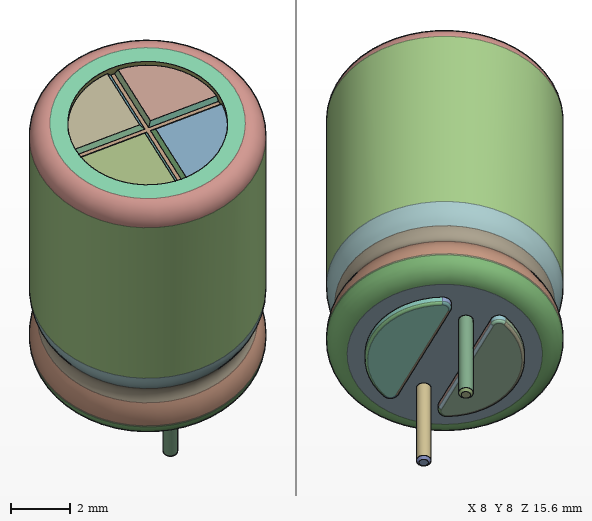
import cadquery as cq
import math

total_height = 15.6
can_diameter = 8.0
can_radius = can_diameter / 2
can_height = 12.0
can_bottom = total_height - can_height
rim_fillet = 0.7

neck_radius = 3.6
neck_z = 5.63
neck_half_height = 1.26
inward_share = 0.3

recess_radius = 2.7
recess_depth = 0.2
groove_width = 0.4
groove_floor_width = 0.14
groove_depth = 0.15

foot_radius = 2.7
foot_gap = 1.5
foot_height = 0.3
foot_corner_fillet = 0.3
foot_edge_fillet = 0.1

lead_radius = 0.25
lead_spacing = 3.5
lead_chamfer = 0.1
lead_embed = 0.7


def disc(radius, bottom_z, height):
    """Upright disc centred on the can axis."""
    return cq.Workplane("XY").workplane(offset=bottom_z).circle(radius).extrude(height)


def can_body():
    """Revolve the can outline: rounded rims and a neck of tangent arcs."""
    neck_depth = can_radius - neck_radius
    tangent_angle = 2 * math.atan(neck_depth / neck_half_height)
    radius_sum = neck_half_height / math.sin(tangent_angle)
    inward_radius = inward_share * radius_sum
    joint_dz = inward_radius * math.sin(tangent_angle)
    joint_r = neck_radius + inward_radius * (1 - math.cos(tangent_angle))
    rim_r = can_radius - rim_fillet
    neck_bottom = neck_z - neck_half_height
    neck_top = neck_z + neck_half_height

    outline = (
        cq.Workplane("XZ")
        .moveTo(0, can_bottom)
        .lineTo(rim_r, can_bottom)
        .radiusArc((can_radius, can_bottom + rim_fillet), -rim_fillet)
        .lineTo(can_radius, neck_bottom)
        .tangentArcPoint((joint_r, neck_z - joint_dz), relative=False)
        .threePointArc((neck_radius, neck_z), (joint_r, neck_z + joint_dz))
        .tangentArcPoint((can_radius, neck_top), relative=False)
        .lineTo(can_radius, total_height - rim_fillet)
        .radiusArc((rim_r, total_height), -rim_fillet)
        .lineTo(0, total_height)
        .close()
    )
    return outline.revolve(360, (0, 0, 0), (0, 1, 0))


def top_recess():
    """Round recess whose floor carries a cross of flat-bottomed, slope-sided grooves."""
    floor_z = total_height - recess_depth
    recess = disc(recess_radius, floor_z, recess_depth)
    groove_section = [
        (-groove_width / 2, floor_z),
        (-groove_floor_width / 2, floor_z - groove_depth),
        (groove_floor_width / 2, floor_z - groove_depth),
        (groove_width / 2, floor_z),
    ]
    groove_limit = disc(recess_radius, floor_z - groove_depth, groove_depth)
    for plane in ("XZ", "YZ"):
        groove = cq.Workplane(plane).polyline(groove_section).close().extrude(recess_radius, both=True)
        recess = recess.union(groove.intersect(groove_limit))
    return recess


def corner_zone():
    """Box around the gap between the feet; it holds only their sharp corners."""
    return cq.selectors.BoxSelector((-foot_radius, -foot_gap, 0), (foot_radius, foot_gap, can_bottom))


def feet():
    """Two disc segments either side of a gap along X, with rounded corners."""
    plate = disc(foot_radius, can_bottom - foot_height, foot_height)
    gap = cq.Workplane("XY").box(2 * foot_radius, foot_gap, 2 * can_bottom)
    segments = plate.cut(gap)
    rounded = segments.edges("|Z").edges(corner_zone()).fillet(foot_corner_fillet)
    return rounded.faces("<Z").edges().fillet(foot_edge_fillet)


def leads():
    """Two round wires with chamfered tips."""
    wires = (
        cq.Workplane("XY")
        .pushPoints([(-lead_spacing / 2, 0), (lead_spacing / 2, 0)])
        .circle(lead_radius)
        .extrude(can_bottom + lead_embed)
    )
    return wires.faces("<Z").chamfer(lead_chamfer)


result = can_body().cut(top_recess()).union(feet()).union(leads())